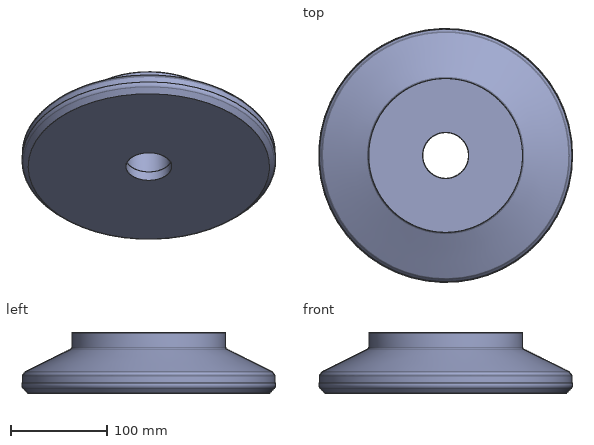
import cadquery as cq
import math

outer_radius = 132.0
total_height = 63.0
bore_radius = 47.5 / 2

rim_bevel = 6.5
rim_round_radius = 4.8
bevel_angle = math.radians(45)

band_radius = 262.8 / 2
band_top = 18.5
band_round_radius = 1.5
cone_base_radius = 128.5
cone_base_height = 22.5
cone_round_radius = 1.5
hub_radius = 160.0 / 2
hub_base_height = 46.5
hub_round_radius = 2.0

round_center_radius = outer_radius - rim_round_radius
round_center_height = rim_bevel + rim_round_radius * math.tan(bevel_angle / 2)
rim_height = round_center_height + math.sqrt(
    rim_round_radius**2 - (band_radius - round_center_radius) ** 2
)


def revolve_profile(profile):
    """Turn an XZ half section (x = radius, y = height) about the Z axis."""
    return profile.close().revolve(360, (0, 0, 0), (0, 1, 0))


def round_edge_at(solid, radius, height, round_radius):
    """Round the circular edge that has the given radius and height."""
    margin = 0.03
    box = cq.selectors.BoxSelector(
        (-radius - margin, -radius - margin, height - margin),
        (radius + margin, radius + margin, height + margin),
        boundingbox=True,
    )
    return solid.edges(box).fillet(round_radius)


def make_rim():
    bevel_end = (
        round_center_radius + rim_round_radius * math.cos(bevel_angle),
        round_center_height - rim_round_radius * math.sin(bevel_angle),
    )
    return revolve_profile(
        cq.Workplane("XZ")
        .moveTo(bore_radius, 0)
        .lineTo(outer_radius - rim_bevel, 0)
        .lineTo(*bevel_end)
        .threePointArc((outer_radius, round_center_height), (band_radius, rim_height))
        .lineTo(bore_radius, rim_height)
    )


def make_body():
    body = revolve_profile(
        cq.Workplane("XZ")
        .moveTo(bore_radius, rim_height)
        .lineTo(band_radius, rim_height)
        .lineTo(band_radius, band_top)
        .lineTo(cone_base_radius, cone_base_height)
        .lineTo(hub_radius, hub_base_height)
        .lineTo(hub_radius, total_height)
        .lineTo(bore_radius, total_height)
    )
    body = round_edge_at(body, band_radius, band_top, band_round_radius)
    body = round_edge_at(body, cone_base_radius, cone_base_height, cone_round_radius)
    return round_edge_at(body, hub_radius, hub_base_height, hub_round_radius)


rim = make_rim()
body = make_body()
result = cq.Compound.makeCompound([rim.val(), body.val()])